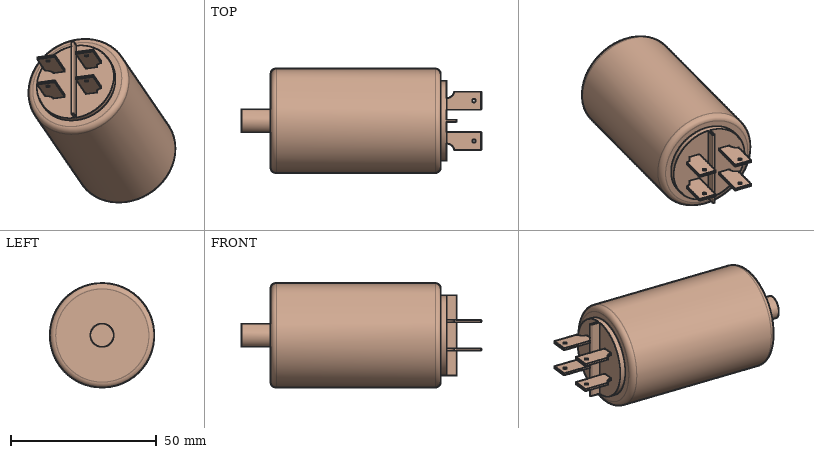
import cadquery as cq

total_length = 82.5
stud_length = 10.0
stud_diameter = 8.0

can_length = 58.5
can_diameter = 36.0
can_edge_radius = 2.0

base_diameter = 27.6
base_thickness = 2.0

wall_reach = 3.55
wall_thickness = 0.8

tab_thickness = 0.8
tab_width = 6.3
tab_inner_y = 3.8
tab_level_z = 4.9
neck_width = 4.05
notch_radius = 2.6
tip_bevel = 0.29
tab_hole_diameter = 1.15
tab_hole_from_tip = 2.6

can_start = -total_length / 2 + stud_length
can_end = can_start + can_length
base_end = can_end + base_thickness


def disc(start_x, length, diameter):
    """Solid cylinder along +X, starting at start_x."""
    return cq.Workplane("YZ", origin=(start_x, 0, 0)).circle(diameter / 2).extrude(length)


def make_wall():
    """Wall across the base face: rounded free edge, ends flush with the rim of the base."""
    half_thickness = wall_thickness / 2
    wall_end = base_end + wall_reach
    round_start = wall_end - half_thickness
    wall = (
        cq.Workplane("XY", origin=(0, 0, -base_diameter / 2))
        .moveTo(base_end, -half_thickness)
        .lineTo(round_start, -half_thickness)
        .threePointArc((wall_end, 0), (round_start, half_thickness))
        .lineTo(base_end, half_thickness)
        .close()
        .extrude(base_diameter)
    )
    return wall.intersect(disc(base_end, wall_reach, base_diameter))


def upright_cylinder(x, y, diameter):
    """Vertical cutter that passes right through the upper tab."""
    return cq.Workplane("XY").center(x, y).circle(diameter / 2).extrude(2 * tab_level_z)


def make_tab():
    """Upper tab on the +Y side: bevelled tip, through hole and a rounded notch at its outer root."""
    tab_length = total_length / 2 - base_end
    middle_y = tab_inner_y + tab_width / 2
    tab = cq.Workplane("XY").box(tab_length, tab_width, tab_thickness).translate(
        (base_end + tab_length / 2, middle_y, tab_level_z)
    )
    tab = tab.faces(">X").chamfer(tip_bevel)
    hole = upright_cylinder(total_length / 2 - tab_hole_from_tip, middle_y, tab_hole_diameter)
    notch_y = tab_inner_y + neck_width + notch_radius
    notch = upright_cylinder(base_end, notch_y, 2 * notch_radius)
    return tab.cut(hole).cut(notch)


stud = disc(-total_length / 2, stud_length, stud_diameter)
can = disc(can_start, can_length, can_diameter).edges().fillet(can_edge_radius)
base = disc(can_end, base_thickness, base_diameter)
result = can.union(stud).union(base).union(make_wall())

upper_tab = make_tab()
upper_pair = upper_tab.union(upper_tab.mirror("XZ"))
result = result.union(upper_pair).union(upper_pair.mirror("XY"))